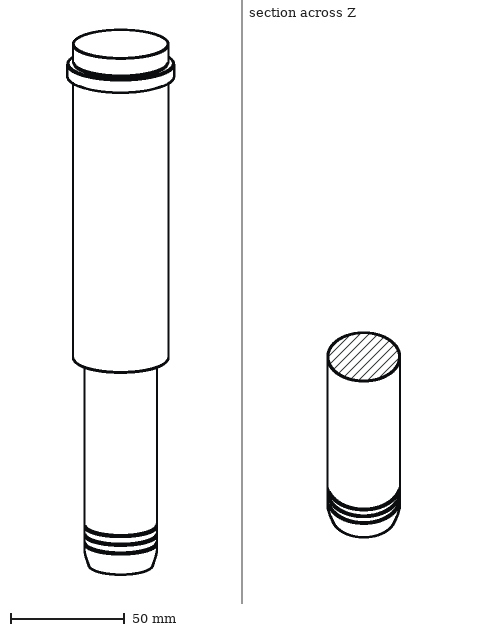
import cadquery as cq

total_length = 240.0
head_diameter = 42.0
shank_diameter = 32.0
shank_length = 95.0
shoulder_chamfer = 0.6
undercut_width = 0.5
undercut_depth = 0.3
top_chamfer = 0.3

collar_diameter = 47.0
collar_thickness = 6.0
collar_to_top = 9.0
collar_chamfer = 0.5
relief_width = 1.0
relief_depth = 0.5

lead_in_length = 7.0
lead_in_radius = 30.0
tip_diameter = 28.4
tip_chamfer = 0.3

groove_count = 3
groove_pitch = 4.0
groove_width = 1.0
groove_depth = 0.5
lowest_groove_height = 10.5

head_radius = head_diameter / 2
shank_radius = shank_diameter / 2
collar_radius = collar_diameter / 2
tip_radius = tip_diameter / 2
relief_radius = head_radius - relief_depth
collar_top = total_length - collar_to_top
collar_bottom = collar_top - collar_thickness


def add_lead_in(profile):
    """Chamfered tip and rounded lead-in up to the shank."""
    return (
        profile.lineTo(tip_radius - tip_chamfer, 0)
        .lineTo(tip_radius, tip_chamfer)
        .radiusArc((shank_radius, lead_in_length), -lead_in_radius)
    )


def add_grooves(profile):
    """Evenly spaced V grooves above the lead-in."""
    for index in range(groove_count):
        height = lowest_groove_height + index * groove_pitch
        profile = (
            profile.lineTo(shank_radius, height - groove_width / 2)
            .lineTo(shank_radius - groove_depth, height)
            .lineTo(shank_radius, height + groove_width / 2)
        )
    return profile


def add_shoulder(profile):
    """Undercut inner corner and chamfered outer edge where the head begins."""
    return (
        profile.lineTo(shank_radius, shank_length - undercut_width)
        .lineTo(shank_radius - undercut_depth, shank_length - undercut_width)
        .lineTo(shank_radius - undercut_depth, shank_length)
        .lineTo(head_radius - shoulder_chamfer, shank_length)
        .lineTo(head_radius, shank_length + shoulder_chamfer)
    )


def add_collar(profile):
    """Collar with a chamfered upper edge between two relief grooves."""
    return (
        profile.lineTo(head_radius, collar_bottom - relief_width)
        .lineTo(relief_radius, collar_bottom - relief_width + relief_depth)
        .lineTo(relief_radius, collar_bottom)
        .lineTo(collar_radius, collar_bottom)
        .lineTo(collar_radius, collar_top - collar_chamfer)
        .lineTo(collar_radius - collar_chamfer, collar_top)
        .lineTo(relief_radius, collar_top)
        .lineTo(relief_radius, collar_top + relief_width - relief_depth)
        .lineTo(head_radius, collar_top + relief_width)
    )


def add_top(profile):
    """Chamfered upper end."""
    return (
        profile.lineTo(head_radius, total_length - top_chamfer)
        .lineTo(head_radius - top_chamfer, total_length)
        .lineTo(0, total_length)
    )


outline = cq.Workplane("XZ").moveTo(0, 0)
for add_section in (add_lead_in, add_grooves, add_shoulder, add_collar, add_top):
    outline = add_section(outline)
result = outline.close().revolve(360, (0, 0, 0), (0, 1, 0))